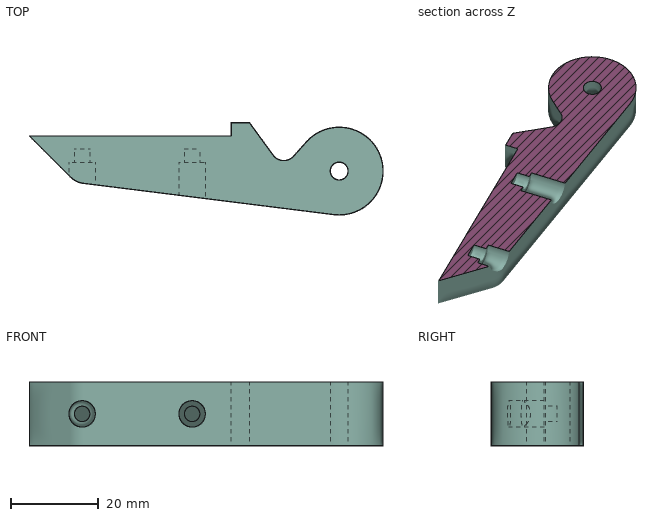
import cadquery as cq
import math

thickness = 14.6
pivot_radius = 10.0
pivot_hole_diameter = 4.0

tip_x = -70.43
ledge_y = 8.0
tip_angle = 45.0
underside_angle = 7.125
heel_radius = 5.0

hook_back_x = tip_x + 45.85
hook_height = 3.0
hook_width = 4.2
hook_flank_angle = 36.1
pivot_flank_angle = 41.7
notch_radius = 3.0

bore_diameter = 6.0
bore_floor_y = ledge_y - 6.0
pilot_diameter = 3.5
pilot_depth = 3.0
first_bore_from_tip = 12.0
bore_spacing = 25.0
bore_count = 2

underside = math.radians(underside_angle)
hook_flank = math.radians(hook_flank_angle)
pivot_flank = math.radians(pivot_flank_angle)


def line_crossing(point_a, slope_a, point_b, slope_b):
    """Point where two lines, each given by a point and a dy/dx slope, meet."""
    (xa, ya), (xb, yb) = point_a, point_b
    x = (yb - ya + slope_a * xa - slope_b * xb) / (slope_a - slope_b)
    return x, ya + slope_a * (x - xa)


underside_tangent = (-pivot_radius * math.sin(underside), -pivot_radius * math.cos(underside))
flank_tangent = (-pivot_radius * math.cos(pivot_flank), pivot_radius * math.sin(pivot_flank))

tip = (tip_x, ledge_y)
hook_top_y = ledge_y + hook_height
hook_corner = (hook_back_x + hook_width, hook_top_y)
underside_slope = -math.tan(underside)
tip_slope = -math.tan(math.radians(tip_angle))
heel = line_crossing(tip, tip_slope, underside_tangent, underside_slope)
notch = line_crossing(
    hook_corner, -1 / math.tan(hook_flank), flank_tangent, 1 / math.tan(pivot_flank)
)


def round_corner(body, corner, radius):
    """Round the single vertical edge that stands on the given outline corner."""
    x, y = corner
    edge = cq.selectors.NearestToPointSelector((x, y, thickness / 2))
    return body.edges("|Z").edges(edge).fillet(radius)


def make_body():
    body = (
        cq.Workplane("XY")
        .moveTo(*tip)
        .lineTo(*heel)
        .lineTo(*underside_tangent)
        .threePointArc((pivot_radius, 0), flank_tangent)
        .lineTo(*notch)
        .lineTo(*hook_corner)
        .lineTo(hook_back_x, hook_top_y)
        .lineTo(hook_back_x, ledge_y)
        .close()
        .extrude(thickness)
    )
    body = round_corner(body, heel, heel_radius)
    return round_corner(body, notch, notch_radius)


def make_pivot_hole():
    return cq.Workplane("XY").circle(pivot_hole_diameter / 2).extrude(thickness)


def make_stepped_hole(x):
    """Bore and pilot along Y, starting level with the lowest point of the part."""
    start_y = -pivot_radius
    bore_length = bore_floor_y - start_y
    mouth = cq.Workplane("XZ", origin=(x, start_y, thickness / 2))
    bore = mouth.circle(bore_diameter / 2).extrude(-bore_length)
    pilot = mouth.circle(pilot_diameter / 2).extrude(-(bore_length + pilot_depth))
    return bore.union(pilot)


result = make_body().cut(make_pivot_hole())
for index in range(bore_count):
    bore_x = tip_x + first_bore_from_tip + index * bore_spacing
    result = result.cut(make_stepped_hole(bore_x))